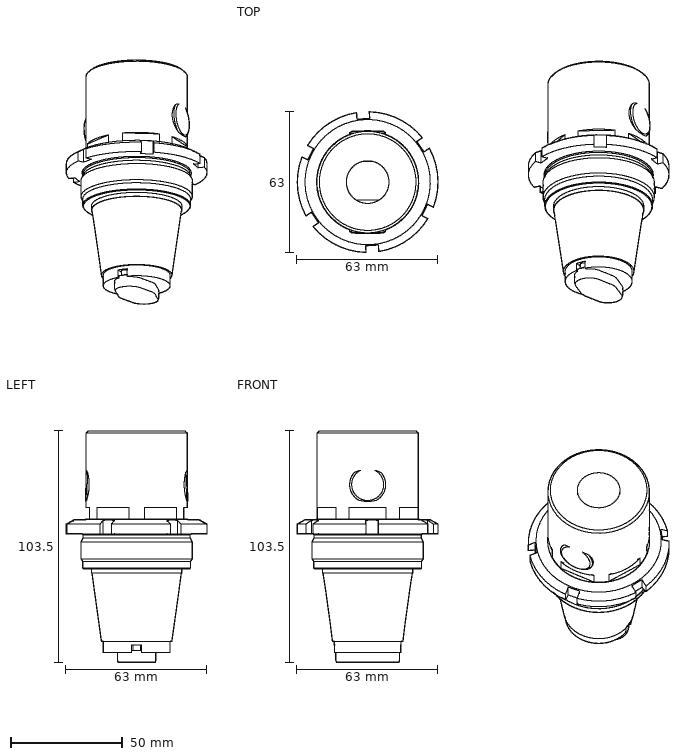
import math

import cadquery as cq

total_height = 103.5

shank_radius = 22.7
shank_chamfer_height = 0.95
shank_chamfer_width = 1.1
foot_radius = 45.7 / 2
foot_top_z = 64.0

flat_count = 6
flat_start_angle = 30.0
flat_distance = 21.15
flat_height = 5.2

collar_radius = 31.5
collar_top_z = 63.8
collar_bottom_z = 57.4
collar_chamfer_height = 2.0
collar_chamfer_width = 3.5
slot_count = 6
slot_width = 5.6
slot_floor_distance = 28.4
slot_start_angle = -86.1

neck_radius = 48.0 / 2
neck_top_chamfer = 0.45
neck_bottom_z = 55.7
guide_radius = 24.9
guide_top_z = 53.85
guide_bottom_z = 46.3
step_radius = 48.3 / 2
step_top_z = 45.1
step_bottom_z = 41.8
step_chamfer = 0.35

taper_collar_radius = 20.25
taper_top_radius = 20.05
taper_top_z = 40.0
taper_bottom_z = 9.4
taper_half_angle = 7.9
nose_radius = 30.0 / 2
nose_bottom_z = 4.4

tang_disc_radius = 8.65
tang_lobe_radius = 6.7
tang_lobe_offset = 7.6
tang_top_z = 5.4
tang_bevel_height = 1.0
tang_bevel_width = 0.3

window_width = 4.4
window_top_z = 7.85
window_depth = 4.5
pin_radius = 1.7

bore_radius = 19.05 / 2
bore_depth = 50.0
front_ramp_distance = 8.1
rear_ramp_distance = 9.2

pad_center_z = 79.5
pad_radius = 8.05
pad_face_distance = shank_radius
pad_depth = 3.0
pad_chamfer_width = 0.9
pad_chamfer_height = 0.6
pad_lean_angle = 2.1


def revolved_body():
    taper_drop = (taper_top_z - taper_bottom_z) * math.tan(math.radians(taper_half_angle))
    profile = [
        (0, total_height),
        (shank_radius - shank_chamfer_width, total_height),
        (shank_radius, total_height - shank_chamfer_height),
        (shank_radius, foot_top_z),
        (foot_radius, foot_top_z),
        (foot_radius, collar_top_z),
        (collar_radius - collar_chamfer_width, collar_top_z),
        (collar_radius, collar_top_z - collar_chamfer_height),
        (collar_radius, collar_bottom_z),
        (neck_radius + neck_top_chamfer, collar_bottom_z),
        (neck_radius, collar_bottom_z - neck_top_chamfer),
        (neck_radius, neck_bottom_z),
        (guide_radius, guide_top_z),
        (guide_radius, guide_bottom_z),
        (step_radius, step_top_z),
        (step_radius, step_bottom_z + step_chamfer),
        (step_radius - step_chamfer, step_bottom_z),
        (taper_collar_radius, step_bottom_z),
        (taper_collar_radius, taper_top_z),
        (taper_top_radius, taper_top_z),
        (taper_top_radius - taper_drop, taper_bottom_z),
        (nose_radius, taper_bottom_z),
        (nose_radius, nose_bottom_z),
        (0, nose_bottom_z),
    ]
    return cq.Workplane("YZ").polyline(profile).close().revolve(360, (0, 0), (0, 1))


def pad():
    """Round pad on the -Y side with a bevelled rim, its face leaning about the X axis."""
    half_profile = [
        (0, 0),
        (pad_radius, 0),
        (pad_radius, pad_depth - pad_chamfer_height),
        (pad_radius - pad_chamfer_width, pad_depth),
        (0, pad_depth),
    ]
    upright = cq.Workplane("XZ").polyline(half_profile).close().revolve(360, (0, 0), (0, 1))
    facing_front = upright.translate((0, 0, -pad_depth)).rotate((0, 0, 0), (1, 0, 0), 90 - pad_lean_angle)
    return facing_front.translate((0, -pad_face_distance, pad_center_z))


def wrench_flat_cutter():
    """Block whose inner face is one wrench flat, facing +X."""
    return (
        cq.Workplane("XY", origin=(0, 0, foot_top_z))
        .center(flat_distance + shank_radius / 2, 0)
        .rect(shank_radius, 2 * shank_radius)
        .extrude(flat_height)
    )


def spanner_slot_cutter():
    """Block that cuts one spanner slot through the collar rim, facing +X."""
    reach = collar_radius - slot_floor_distance
    return (
        cq.Workplane("XY", origin=(0, 0, collar_bottom_z))
        .center(slot_floor_distance + reach, 0)
        .rect(2 * reach, slot_width)
        .extrude(collar_top_z - collar_bottom_z)
    )


def cut_around(body, cutter, count, start_angle):
    for i in range(count):
        body = body.cut(cutter.rotate((0, 0, 0), (0, 0, 1), start_angle + 360 / count * i))
    return body


def tang_outline(plane, inset):
    """Closed outline of the tang, moved inwards by `inset`."""
    disc = tang_disc_radius - inset
    lobe = tang_lobe_radius - inset
    normal_x = (disc - lobe) / tang_lobe_offset
    normal_y = math.sqrt(1 - normal_x**2)
    disc_x = disc * normal_x
    disc_y = disc * normal_y
    lobe_x = tang_lobe_offset + lobe * normal_x
    lobe_y = lobe * normal_y
    tip_x = tang_lobe_offset + lobe
    return (
        plane.moveTo(-disc_x, disc_y)
        .threePointArc((0, disc), (disc_x, disc_y))
        .lineTo(lobe_x, lobe_y)
        .threePointArc((tip_x, 0), (lobe_x, -lobe_y))
        .lineTo(disc_x, -disc_y)
        .threePointArc((0, -disc), (-disc_x, -disc_y))
        .lineTo(-lobe_x, -lobe_y)
        .threePointArc((-tip_x, 0), (-lobe_x, lobe_y))
        .close()
    )


def tang():
    straight = tang_outline(cq.Workplane("XY", origin=(0, 0, tang_bevel_height)), 0)
    straight = straight.extrude(tang_top_z - tang_bevel_height)
    bevel = tang_outline(cq.Workplane("XY"), tang_bevel_width)
    bevel = tang_outline(bevel.workplane(offset=tang_bevel_height), 0).loft(ruled=True)
    return straight.union(bevel)


def window_cutter(side):
    """Opening in the nose wall on the +X (side = 1) or -X (side = -1) end, around its pin."""
    height = window_top_z - nose_bottom_z
    inner_x = nose_radius - window_depth
    opening = (
        cq.Workplane("XY", origin=(0, 0, nose_bottom_z))
        .center(side * (inner_x + window_depth), 0)
        .rect(2 * window_depth, window_width)
        .extrude(height)
    )
    pin = (
        cq.Workplane("XY", origin=(0, 0, nose_bottom_z))
        .center(side * (inner_x + pin_radius), 0)
        .circle(pin_radius)
        .extrude(height)
    )
    return opening.cut(pin)


def bore_cutter():
    """Blind bore, with the floor rising at 45 degrees beyond the two ramp lines."""
    floor_z = total_height - bore_depth
    cylinder = cq.Workplane("XY", origin=(0, 0, floor_z)).circle(bore_radius).extrude(bore_depth)
    side_profile = [
        (-front_ramp_distance, floor_z),
        (rear_ramp_distance, floor_z),
        (rear_ramp_distance + bore_radius, floor_z + bore_radius),
        (rear_ramp_distance + bore_radius, total_height),
        (-front_ramp_distance - bore_radius, total_height),
        (-front_ramp_distance - bore_radius, floor_z + bore_radius),
    ]
    envelope = cq.Workplane("YZ").polyline(side_profile).close().extrude(bore_radius, both=True)
    return cylinder.intersect(envelope)


front_pad = pad()
result = revolved_body()
result = result.union(front_pad).union(front_pad.mirror("XZ"))
result = cut_around(result, wrench_flat_cutter(), flat_count, flat_start_angle)
result = cut_around(result, spanner_slot_cutter(), slot_count, slot_start_angle)
result = result.cut(window_cutter(1)).cut(window_cutter(-1))
result = result.union(tang())
result = result.cut(bore_cutter())